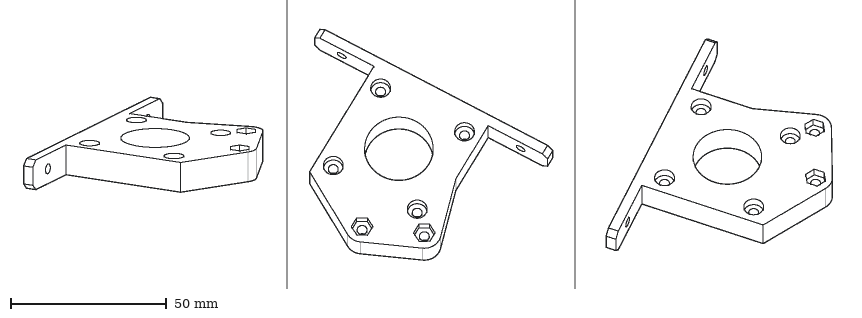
import cadquery as cq
import math

thickness = 10.0
flange_length = 86.0
flange_depth = 3.4
flange_chamfer = 2.0
flange_hole_spacing = 66.05

plate_half_width = 21.1
motor_x = 24.5
motor_bore = 22.0
motor_hole_spacing = 31.0

screw_hole = 3.2
screw_head = 6.4
screw_head_depth = 3.0
nut_corner_diameter = 6.9
nut_depth = 3.0

upper_nut = (46.0, 21.5)
side_nut = (53.9, 3.0)
corner_radius = 5.4


def point_on_corner(center, angle):
    """Point on the rounded corner around center, at an angle from +X."""
    return (
        center[0] + corner_radius * math.cos(angle),
        center[1] + corner_radius * math.sin(angle),
    )


def tangent_angle(point, center, turn):
    """Angle of the touch point of a tangent from point; turn (+1 or -1) picks the side."""
    dx = point[0] - center[0]
    dy = point[1] - center[1]
    angle = math.atan2(dy, dx) + turn * math.acos(corner_radius / math.hypot(dx, dy))
    return angle % (2 * math.pi)


def make_flange():
    return (
        cq.Workplane("XY")
        .box(flange_depth, flange_length, thickness, centered=(False, True, False))
        .edges("|X")
        .chamfer(flange_chamfer)
    )


def make_plate():
    lower_corner = (motor_x + plate_half_width, -plate_half_width)
    upper_bend = (motor_x, plate_half_width)

    lower_edge_angle = tangent_angle(lower_corner, side_nut, 1)
    upper_edge_angle = tangent_angle(upper_bend, upper_nut, -1)
    nut_line_angle = math.atan2(upper_nut[1] - side_nut[1], upper_nut[0] - side_nut[0])
    outer_edge_angle = nut_line_angle - math.pi / 2
    upper_middle_angle = (outer_edge_angle + upper_edge_angle) / 2

    return (
        cq.Workplane("XY")
        .moveTo(0, -plate_half_width)
        .lineTo(*lower_corner)
        .lineTo(*point_on_corner(side_nut, lower_edge_angle))
        .threePointArc(
            point_on_corner(side_nut, 0),
            point_on_corner(side_nut, outer_edge_angle),
        )
        .lineTo(*point_on_corner(upper_nut, outer_edge_angle))
        .threePointArc(
            point_on_corner(upper_nut, upper_middle_angle),
            point_on_corner(upper_nut, upper_edge_angle),
        )
        .lineTo(*upper_bend)
        .lineTo(0, plate_half_width)
        .close()
        .extrude(thickness)
    )


def cut_motor_mount(body):
    top = body.faces(">Z").workplane(origin=(motor_x, 0, thickness))
    body = top.hole(motor_bore)
    top = body.faces(">Z").workplane(origin=(motor_x, 0, thickness))
    return top.rect(
        motor_hole_spacing, motor_hole_spacing, forConstruction=True
    ).vertices().cboreHole(screw_hole, screw_head, screw_head_depth)


def cut_nut_holes(body):
    nut_positions = [upper_nut, side_nut]
    holes = (
        cq.Workplane("XY")
        .pushPoints(nut_positions)
        .circle(screw_hole / 2)
        .extrude(thickness)
    )
    pockets = (
        cq.Workplane("XY", origin=(0, 0, thickness))
        .pushPoints(nut_positions)
        .polygon(6, nut_corner_diameter)
        .extrude(-nut_depth)
    )
    return body.cut(holes).cut(pockets)


def cut_flange_holes(body):
    holes = (
        cq.Workplane("YZ", origin=(0, 0, thickness / 2))
        .pushPoints([(-flange_hole_spacing / 2, 0), (flange_hole_spacing / 2, 0)])
        .circle(screw_hole / 2)
        .extrude(flange_depth)
    )
    return body.cut(holes)


result = make_flange().union(make_plate())
result = cut_motor_mount(result)
result = cut_nut_holes(result)
result = cut_flange_holes(result)